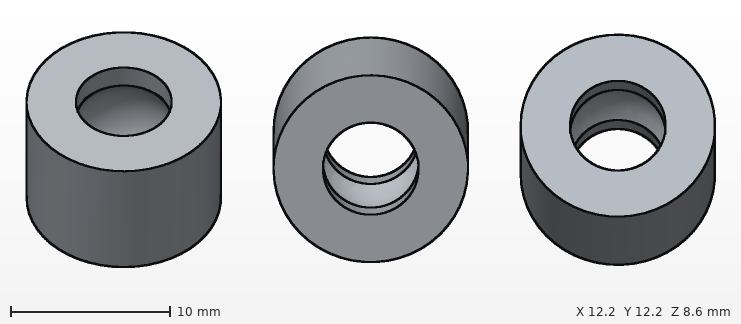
import cadquery as cq

outer_diameter = 12.2
bore_diameter = 6.0
height = 8.6
socket_diameter = 8.05

body = cq.Workplane("XY").circle(outer_diameter / 2).extrude(height)

socket = (
    cq.Workplane("XY")
    .sphere(socket_diameter / 2)
    .rotate((0, 0, 0), (1, 0, 0), 90)
    .translate((0, 0, height / 2))
)

bore = cq.Workplane("XY").circle(bore_diameter / 2).extrude(height)

result = body.cut(socket).cut(bore)